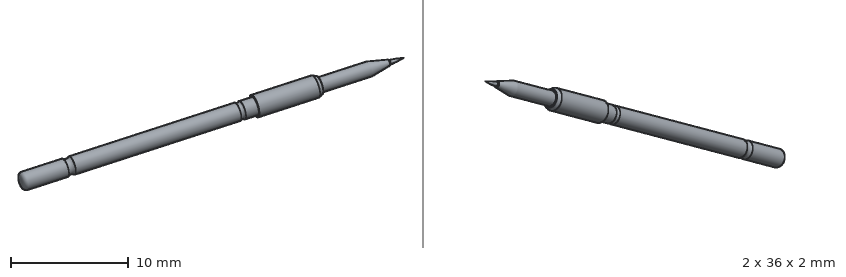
import cadquery as cq

length = 36.0
tip_y = length / 2

point_end = 0.7
needle_end = 1.35
needle_step = 0.1
taper_end = 3.28
collar_start = 7.95
collar_bevel = 0.4
collar_end = 14.05

point_radius = 0.15
needle_radius = 0.2
taper_small_radius = 0.3
neck_radius = 0.7
collar_nose_radius = 0.83
collar_radius = 1.0
shank_radius = 0.83

end_round = 0.35

front_groove = (15.45, 0.45, 0.09)
rear_groove = (31.55, 0.65, 0.125)


def turned_blank():
    """Revolve the stepped half profile, drawn as (radius, Y), about the Y axis."""
    outline = [
        (0, 0),
        (point_radius, point_end),
        (needle_radius, needle_end),
        (taper_small_radius, needle_end + needle_step),
        (neck_radius, taper_end),
        (neck_radius, collar_start),
        (collar_nose_radius, collar_start),
        (collar_radius, collar_start + collar_bevel),
        (collar_radius, collar_end),
        (shank_radius, collar_end),
        (shank_radius, length),
        (0, length),
    ]
    points = [(radius, tip_y - distance) for radius, distance in outline]
    blank = cq.Workplane("XY").polyline(points).close().revolve(360, (0, 0), (0, 1))
    return blank.faces("<Y").edges().fillet(end_round)


def groove_cutter(distance, width, depth):
    """Ring whose arc section cuts a groove of the given width and depth into the shank."""
    y = tip_y - distance
    outer = shank_radius + depth
    section = (
        cq.Workplane("XY")
        .moveTo(outer, y - width / 2)
        .lineTo(shank_radius, y - width / 2)
        .threePointArc((shank_radius - depth, y), (shank_radius, y + width / 2))
        .lineTo(outer, y + width / 2)
        .close()
    )
    return section.revolve(360, (0, 0), (0, 1))


result = turned_blank()
for groove in (front_groove, rear_groove):
    result = result.cut(groove_cutter(*groove))